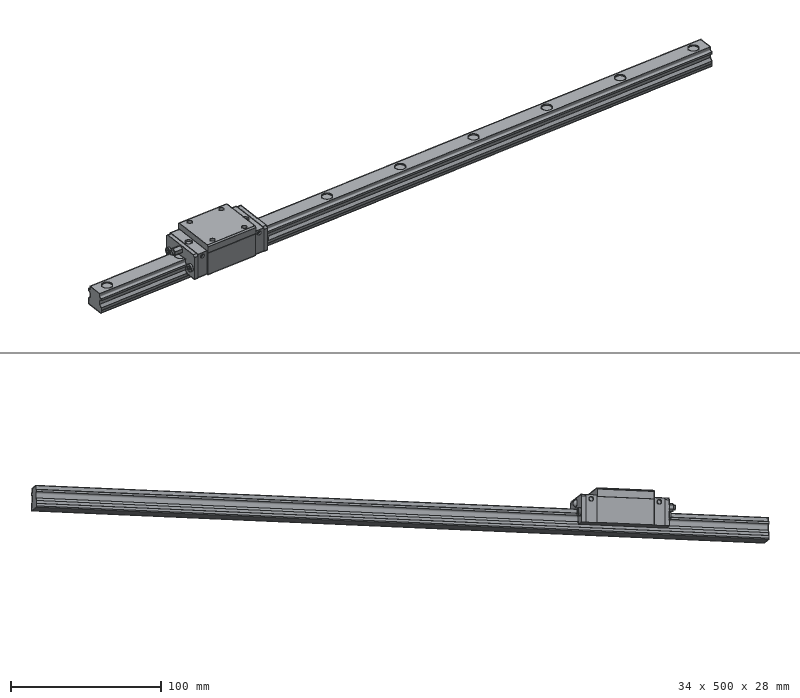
import cadquery as cq
import math

rail_length = 500.0
rail_width = 15.0
rail_height = 15.0
rail_neck_width = 11.0
rail_lip_low = 10.5
rail_lip_high = 12.0
lower_round = 1.5
upper_round = 0.75
rail_waist_low = 6.5
rail_base_height = 4.5
rail_datum_height = 2.5
rail_relief = 0.25
rail_bottom_chamfer = 0.75

bolt_pitch = 60.0
bolt_count = 9
bolt_recess_diameter = 7.5
bolt_recess_depth = 1.0

carriage_y = -150.0
carriage_bottom = 4.5
carriage_top = 28.0
rail_clearance = 0.1

block_width = 34.0
block_length = 39.0
block_chamfer = 1.0
block_ledge_height = 22.0
block_relief = 0.25

cap_inset = 0.25
cap_length = 7.5
seal_width = 32.0
seal_top = 23.5
seal_length = 3.0
seal_chamfer = 1.5

mount_spacing = 26.0
mount_diameter = 3.5
mount_depth = 5.0

top_port_diameter = 5.0
side_port_diameter = 3.0
side_port_height = 20.5
port_depth = 1.5

screw_spacing = 24.0
screw_height = 12.0
screw_diameter = 5.5
screw_head = 1.5
screw_socket_diameter = 2.5
screw_socket_depth = 1.0

fitting_height = 20.0
plug_diameter = 5.5
plug_length = 2.0
nipple_corners = 5.5
nipple_hex_length = 6.0
nipple_tip_diameter = 3.25
nipple_tip_length = 1.5

cap_width = seal_width - 2 * cap_inset
cap_top = seal_top - cap_inset
port_offset = block_length / 2 + cap_length / 2
cap_end = block_length / 2 + cap_length
seal_end = cap_end + seal_length


def rail_profile():
    """Closed rail cross-section on the XZ plane, with concave rounds above and below the head lips."""
    half = rail_width / 2
    relieved = half - rail_relief
    neck = rail_neck_width / 2
    lower_end = rail_lip_low - lower_round
    upper_end = rail_lip_high + upper_round
    round_depth = 1 - math.sqrt(0.5)
    lower_depth = lower_round * round_depth
    upper_depth = upper_round * round_depth

    profile = (
        cq.Workplane("XZ")
        .moveTo(0, 0)
        .lineTo(half - rail_bottom_chamfer, 0)
        .lineTo(half, rail_bottom_chamfer)
        .lineTo(half, rail_datum_height)
        .lineTo(relieved, rail_datum_height)
        .lineTo(relieved, rail_base_height)
        .lineTo(neck, rail_waist_low)
        .lineTo(neck, lower_end)
        .threePointArc(
            (neck + lower_depth, rail_lip_low - lower_depth),
            (neck + lower_round, rail_lip_low),
        )
        .lineTo(half, rail_lip_low)
        .lineTo(half, rail_lip_high)
        .lineTo(neck + upper_round, rail_lip_high)
        .threePointArc((neck + upper_depth, rail_lip_high + upper_depth), (neck, upper_end))
        .lineTo(neck, rail_height)
        .lineTo(0, rail_height)
    )
    return profile.mirrorY()


def make_rail():
    """Full-length rail with a row of bolt recesses in its top."""
    rail = rail_profile().extrude(rail_length / 2, both=True)
    recesses = (
        cq.Workplane("XY", origin=(0, 0, rail_height))
        .rarray(5, bolt_pitch, 1, bolt_count)
        .circle(bolt_recess_diameter / 2)
        .extrude(-bolt_recess_depth)
    )
    return rail.cut(recesses)


def centred_box(width, length, bottom, top):
    """Box centred on the Z axis, between two heights."""
    return (
        cq.Workplane("XY", origin=(0, 0, bottom))
        .rect(width, length)
        .extrude(top - bottom)
    )


def make_block():
    """Steel block with relieved lower sides, chamfered top edges and mounting holes."""
    lower = centred_box(block_width - 2 * block_relief, block_length, carriage_bottom, block_ledge_height)
    upper = centred_box(block_width, block_length, block_ledge_height, carriage_top)
    upper = upper.faces(">Z").edges("|Y").chamfer(block_chamfer)
    mount_holes = (
        cq.Workplane("XY", origin=(0, 0, carriage_top))
        .rarray(mount_spacing, mount_spacing, 2, 2)
        .circle(mount_diameter / 2)
        .extrude(-mount_depth)
    )
    return lower.union(upper).cut(mount_holes)


def make_caps():
    """End caps at both ends, one box through the block, with their lubrication ports."""
    caps = centred_box(cap_width, 2 * cap_end, carriage_bottom, cap_top)
    for y in (-port_offset, port_offset):
        top_port = (
            cq.Workplane("XY", origin=(0, y, cap_top))
            .circle(top_port_diameter / 2)
            .extrude(-port_depth)
        )
        caps = caps.cut(top_port)
        for side in (-1, 1):
            side_port = (
                cq.Workplane("YZ", origin=(side * cap_width / 2, y, side_port_height))
                .circle(side_port_diameter / 2)
                .extrude(-side * port_depth)
            )
            caps = caps.cut(side_port)
    return caps


def make_seal(end):
    """End seal on the -Y (end = -1) or +Y (end = 1) cap, with its two socket screws."""
    seal = centred_box(seal_width, seal_length, carriage_bottom, seal_top)
    seal = seal.faces(">Z").edges("|Y").chamfer(seal_chamfer)
    seal = seal.translate((0, end * (cap_end + seal_length / 2), 0))
    for side in (-1, 1):
        centre_x = side * screw_spacing / 2
        seal = seal.union(end_cylinder(centre_x, screw_height, end, seal_end, screw_diameter, screw_head))
        socket = end_cylinder(
            centre_x, screw_height, end, seal_end + screw_head, screw_socket_diameter, -screw_socket_depth
        )
        seal = seal.cut(socket)
    return seal


def end_cylinder(x, z, end, start, diameter, length):
    """Cylinder along Y that leaves the given end outwards (inwards for a negative length)."""
    return (
        cq.Workplane("XZ", origin=(x, end * start, z))
        .circle(diameter / 2)
        .extrude(-end * length)
    )


def make_nipple():
    """Hexagonal grease nipple with a round tip on the -Y seal."""
    hexagon = (
        cq.Workplane("XZ", origin=(0, -seal_end, fitting_height))
        .transformed(rotate=(0, 0, 90))
        .polygon(6, nipple_corners)
        .extrude(nipple_hex_length)
    )
    tip = end_cylinder(
        0, fitting_height, -1, seal_end + nipple_hex_length, nipple_tip_diameter, nipple_tip_length
    )
    return hexagon.union(tip)


def make_plug():
    """Domed plug on the +Y seal, a spherical cap."""
    radius = plug_diameter / 2
    dome_radius = (radius**2 + plug_length**2) / (2 * plug_length)
    middle_angle = math.asin(radius / dome_radius) / 2
    tip = seal_end + plug_length
    middle = (
        dome_radius * math.sin(middle_angle),
        tip - dome_radius * (1 - math.cos(middle_angle)),
    )
    return (
        cq.Workplane("XY", origin=(0, 0, fitting_height))
        .moveTo(0, seal_end)
        .lineTo(radius, seal_end)
        .threePointArc(middle, (0, tip))
        .close()
        .revolve(360, (0, 0), (0, 1))
    )


def make_carriage():
    """Block, end caps, seals and fittings as one body, with a clear passage for the rail."""
    carriage = make_block().union(make_caps())
    for end in (-1, 1):
        carriage = carriage.union(make_seal(end))
    carriage = carriage.union(make_plug()).union(make_nipple())
    passage = rail_profile().offset2D(rail_clearance).extrude(2 * seal_end, both=True)
    return carriage.cut(passage).translate((0, carriage_y, 0))


rail = make_rail()
carriage = make_carriage()
result = cq.Compound.makeCompound([rail.solids().val(), carriage.solids().val()])